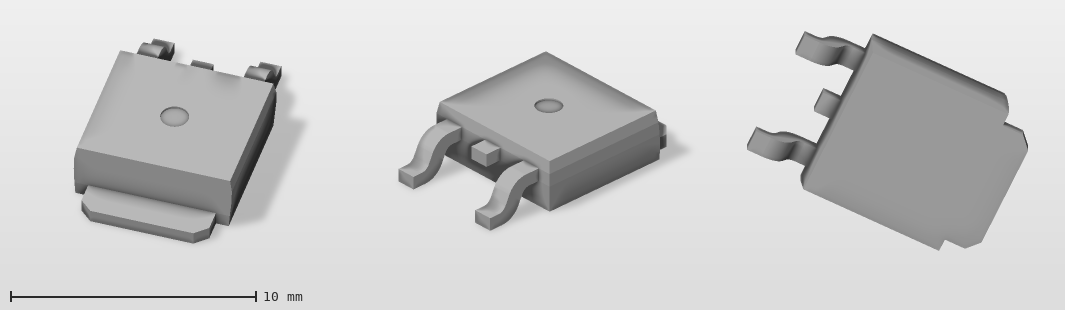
import cadquery as cq
import math


total_length = 10.35
metal_thickness = 0.59
belt_top = 1.85
belt_bottom = belt_top - metal_thickness

housing_height = 2.39
housing_width = 6.73
side_inset = 0.09
housing_front = 1.4
housing_back = 7.63
front_inset = 0.2
back_inset = 0.09
mark_diameter = 1.18
mark_depth = 0.1
mark_y = 4.5

tab_width = 5.45
tab_chamfer_x = 0.53
tab_chamfer_y = 0.49

lead_width = 0.89
lead_spacing = 4.56
stub_end = 8.41
shoulder_end = 8.35
outer_bend_radius = 1.02
inner_bend_radius = 0.43
slope_thickening = 0.2
bend_angle = math.radians(64)


def make_housing():
    """Moulded block tapering away from a vertical belt, with a round mark in its top."""
    half_width = housing_width / 2
    end_half_width = half_width - side_inset
    cross_section = (
        cq.Workplane("XZ")
        .polyline([
            (-end_half_width, 0),
            (end_half_width, 0),
            (half_width, belt_bottom),
            (half_width, belt_top),
            (end_half_width, housing_height),
            (-end_half_width, housing_height),
            (-half_width, belt_top),
            (-half_width, belt_bottom),
        ])
        .close()
        .extrude(-total_length)
    )
    side_profile = (
        cq.Workplane("YZ")
        .polyline([
            (housing_front, 0),
            (housing_back - back_inset, 0),
            (housing_back, belt_bottom),
            (housing_back, belt_top),
            (housing_back - back_inset, housing_height),
            (housing_front + front_inset, housing_height),
            (housing_front, metal_thickness),
        ])
        .close()
        .extrude(half_width, both=True)
    )
    mark = (
        cq.Workplane("XY", origin=(0, mark_y, housing_height - mark_depth))
        .circle(mark_diameter / 2)
        .extrude(mark_depth)
    )
    return cross_section.intersect(side_profile).cut(mark)


def make_tab():
    """Flat plate against the front of the housing, with its two free corners cut off."""
    half_width = tab_width / 2
    edge_half_width = half_width - tab_chamfer_x
    return (
        cq.Workplane("XY")
        .polyline([
            (-edge_half_width, 0),
            (edge_half_width, 0),
            (half_width, tab_chamfer_y),
            (half_width, housing_front),
            (-half_width, housing_front),
            (-half_width, tab_chamfer_y),
        ])
        .close()
        .extrude(metal_thickness)
    )


def make_stub_lead():
    """Straight middle lead, cut off short."""
    return cq.Workplane("XY").box(
        lead_width, stub_end - housing_back, metal_thickness, centered=(True, False, False)
    ).translate((0, housing_back, belt_bottom))


def make_bent_lead(x):
    """Lead that leaves the belt, bends down and ends flat on the mounting plane."""
    sine = math.sin(bend_angle)
    cosine = math.cos(bend_angle)

    bend_sum = outer_bend_radius + inner_bend_radius
    slope_length = (belt_bottom - bend_sum * (1 - cosine)) / sine
    foot_start = shoulder_end + bend_sum * sine + slope_length * cosine

    def bend_point(radius, angle):
        return radius * math.sin(angle), radius * (1 - math.cos(angle))

    def shoulder_point(angle):
        along, drop = bend_point(outer_bend_radius, angle)
        return shoulder_end + along, belt_top - drop

    def foot_point(angle):
        along, rise = bend_point(inner_bend_radius, angle)
        return foot_start - along, metal_thickness + rise

    def half_turn(point):
        return shoulder_end + foot_start - slope_thickening - point[0], belt_top - point[1]

    half_bend = bend_angle / 2
    return (
        cq.Workplane("YZ", origin=(x, 0, 0))
        .moveTo(housing_back, belt_top)
        .lineTo(*shoulder_point(0))
        .threePointArc(shoulder_point(half_bend), shoulder_point(bend_angle))
        .lineTo(*foot_point(bend_angle))
        .threePointArc(foot_point(half_bend), foot_point(0))
        .lineTo(total_length, metal_thickness)
        .lineTo(total_length, 0)
        .lineTo(*half_turn(shoulder_point(0)))
        .threePointArc(half_turn(shoulder_point(half_bend)), half_turn(shoulder_point(bend_angle)))
        .lineTo(*half_turn(foot_point(bend_angle)))
        .threePointArc(half_turn(foot_point(half_bend)), half_turn(foot_point(0)))
        .lineTo(housing_back, belt_bottom)
        .close()
        .extrude(lead_width / 2, both=True)
    )


housing = make_housing()
tab = make_tab()
stub_lead = make_stub_lead()
bent_leads = [make_bent_lead(side * lead_spacing / 2) for side in (-1, 1)]

result = cq.Compound.makeCompound([
    housing.val(),
    tab.val(),
    stub_lead.val(),
    *[lead.val() for lead in bent_leads],
])